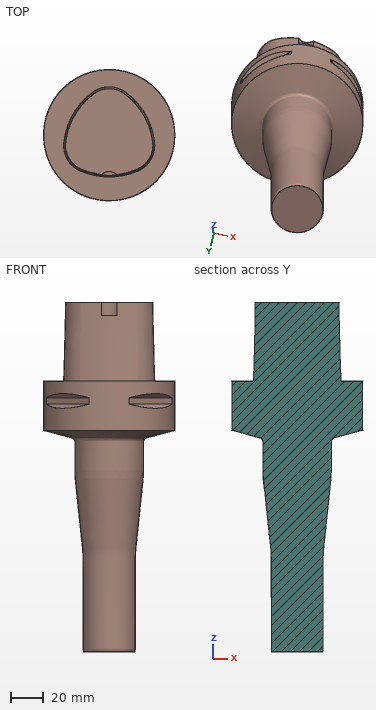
import cadquery as cq
import math

total_height = 213.0
polygon_height = 48.0
flange_height = 30.0
flange_top = total_height - polygon_height
flange_bottom = flange_top - flange_height
neck_taper_top = 108.0
neck_taper_bottom = 60.0

flange_radius = 80.0 / 2
neck_radius = 42.0 / 2
shank_radius = 32.0 / 2
flange_cone_angle = 15.0
flange_neck_fillet = 2.1
neck_blend_radius = 50.0
shank_end_chamfer = 1.7
shank_end_inset = 0.5

polygon_mean_radius = 27.5
lobe_height = 2.0
lobe_arc_radius = 16.8
polygon_taper_ratio = 1 / 40

notch_depth = 7.9
notch_radius = 6.5
notch_inner_reach = 22.2

groove_count = 4
groove_first_angle = 45.0
groove_level = 153.0
groove_floor_distance = 35.5
groove_floor_width = 3.8
groove_flank_angle = 30.0


def polar(radius, degrees):
    angle = math.radians(degrees)
    return radius * math.cos(angle), radius * math.sin(angle)


def turned_body():
    cone_drop = (flange_radius - neck_radius) * math.tan(math.radians(flange_cone_angle))
    neck_top = flange_bottom - cone_drop
    body = (
        cq.Workplane("XZ")
        .moveTo(0, 0)
        .lineTo(shank_radius - shank_end_inset, 0)
        .lineTo(shank_radius, shank_end_chamfer)
        .lineTo(shank_radius, neck_taper_bottom)
        .lineTo(neck_radius, neck_taper_top)
        .lineTo(neck_radius, neck_top)
        .lineTo(flange_radius, flange_bottom)
        .lineTo(flange_radius, flange_top)
        .lineTo(0, flange_top)
        .close()
        .revolve(360, (0, 0, 0), (0, 1, 0))
    )

    def fillet_circle(part, level, radius):
        margin = 0.2
        box = cq.selectors.BoxSelector(
            (-flange_radius, -flange_radius, level - margin),
            (flange_radius, flange_radius, level + margin),
        )
        return part.edges("%CIRCLE").edges(box).fillet(radius)

    body = fillet_circle(body, neck_top, flange_neck_fillet)
    body = fillet_circle(body, neck_taper_top, neck_blend_radius)
    return fillet_circle(body, neck_taper_bottom, neck_blend_radius)


def polygon_shank():
    lobe_reach = polygon_mean_radius + lobe_height
    flank_reach = polygon_mean_radius - lobe_height
    lobe_offset = lobe_reach - lobe_arc_radius
    rise = lobe_reach - flank_reach
    flank_offset = (2 * rise * lobe_offset - rise**2) / (lobe_offset - 2 * rise)
    flank_arc_radius = flank_reach + flank_offset

    def tangent_point(lobe_angle, flank_angle):
        lobe_x, lobe_y = polar(lobe_offset, lobe_angle)
        flank_x, flank_y = polar(-flank_offset, flank_angle)
        scale = flank_arc_radius / math.hypot(lobe_x - flank_x, lobe_y - flank_y)
        return flank_x + scale * (lobe_x - flank_x), flank_y + scale * (lobe_y - flank_y)

    outline = cq.Workplane("XY").workplane(offset=flange_top).moveTo(*tangent_point(90, 30))
    for lobe_angle in (90, 210, 330):
        flank_angle = lobe_angle + 60
        outline = outline.threePointArc(
            polar(lobe_reach, lobe_angle), tangent_point(lobe_angle, flank_angle)
        )
        outline = outline.threePointArc(
            polar(flank_reach, flank_angle), tangent_point(lobe_angle + 120, flank_angle)
        )
    taper_angle = math.degrees(math.atan(polygon_taper_ratio))
    return outline.close().extrude(polygon_height, taper=taper_angle)


def polygon_notch():
    return (
        cq.Workplane("XY")
        .workplane(offset=total_height - notch_depth)
        .center(0, -notch_inner_reach - notch_radius)
        .circle(notch_radius)
        .extrude(notch_depth)
    )


def gripper_groove(angle):
    inner_half = groove_floor_width / 2
    outer_half = inner_half + (flange_radius - groove_floor_distance) * math.tan(
        math.radians(groove_flank_angle)
    )
    profile = [
        (groove_floor_distance, groove_level - inner_half),
        (flange_radius, groove_level - outer_half),
        (flange_radius, groove_level + outer_half),
        (groove_floor_distance, groove_level + inner_half),
    ]
    groove = cq.Workplane("XZ").polyline(profile).close().extrude(flange_radius, both=True)
    return groove.rotate((0, 0, 0), (0, 0, 1), angle)


result = turned_body().union(polygon_shank()).cut(polygon_notch())
for index in range(groove_count):
    result = result.cut(gripper_groove(groove_first_angle + index * 360 / groove_count))